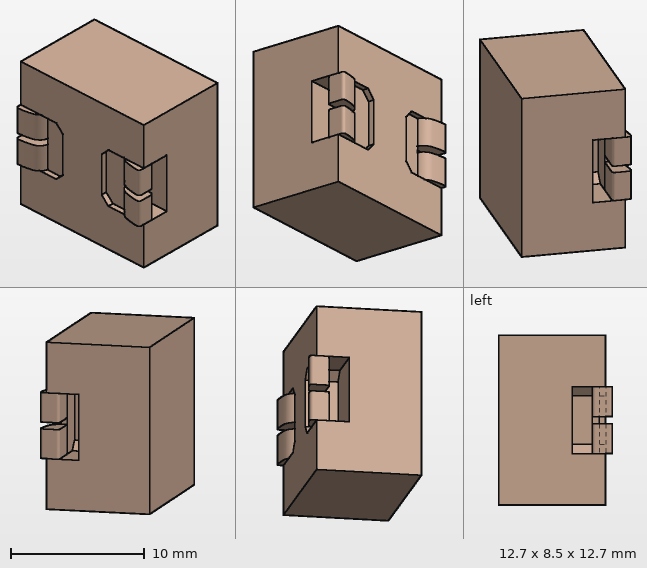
import cadquery as cq

WIDTH = 12.7
HEIGHT = 12.7
DEPTH = 8.0

POCKET_WIDTH = 4.35
POCKET_HEIGHT = 5.0
POCKET_DEPTH = 2.5
POCKET_CHAMFER = 0.7

CONTACT_WIDTH = 2.3
CONTACT_GAP = 0.51
CONTACT_HEIGHT = (POCKET_HEIGHT - CONTACT_GAP) / 2
CONTACT_PROTRUSION = 0.5
CONTACT_INSET = 1.0
CORNER_RADIUS = 0.23
NOSE_START_X = 1.4
NOSE_START_OUT = 0.32
CROWN_MID_X = 0.83
CROWN_MID_OUT = 0.43
NOSE_MID_X = 2.0
NOSE_MID_OUT = 0.03

LEDGE_DEPTH = 0.5
LEDGE_THICKNESS = CONTACT_INSET - LEDGE_DEPTH
LEDGE_LENGTH = POCKET_WIDTH - CONTACT_WIDTH

LEFT_SIDE = -WIDTH / 2


def make_pocket():
    """Cutter for the left pocket: chamfered inner corners, less the ledge that crosses it."""
    cavity = (
        cq.Workplane("XY")
        .box(POCKET_WIDTH, POCKET_DEPTH, POCKET_HEIGHT, centered=(False, False, True))
        .edges("|Y and >X")
        .chamfer(POCKET_CHAMFER)
        .translate((LEFT_SIDE, 0, 0))
    )
    ledge = (
        cq.Workplane("XY")
        .box(LEDGE_LENGTH, LEDGE_THICKNESS, POCKET_HEIGHT, centered=(False, False, True))
        .translate((LEFT_SIDE + CONTACT_WIDTH, LEDGE_DEPTH, 0))
    )
    return cavity.cut(ledge)


def make_housing():
    """Rectangular block with a mirrored pair of pockets, each crossed by a ledge."""
    block = cq.Workplane("XY").box(WIDTH, DEPTH, HEIGHT, centered=(True, False, True))
    pocket = make_pocket()
    return block.cut(pocket).cut(pocket.mirror("YZ"))


def make_contact():
    """Left contact, centred on Z = 0: flat back, domed front and rounded outer corners."""
    return (
        cq.Workplane("XY")
        .moveTo(0, CONTACT_INSET - CORNER_RADIUS)
        .lineTo(0, CORNER_RADIUS - CONTACT_PROTRUSION)
        .radiusArc((CORNER_RADIUS, -CONTACT_PROTRUSION), -CORNER_RADIUS)
        .threePointArc((CROWN_MID_X, -CROWN_MID_OUT), (NOSE_START_X, -NOSE_START_OUT))
        .threePointArc((NOSE_MID_X, -NOSE_MID_OUT), (CONTACT_WIDTH, LEDGE_DEPTH))
        .lineTo(CONTACT_WIDTH, CONTACT_INSET)
        .lineTo(CORNER_RADIUS, CONTACT_INSET)
        .radiusArc((0, CONTACT_INSET - CORNER_RADIUS), -CORNER_RADIUS)
        .close()
        .extrude(CONTACT_HEIGHT / 2, both=True)
        .translate((LEFT_SIDE, 0, 0))
    )


housing = make_housing()

contacts = []
contact_offset = (CONTACT_HEIGHT + CONTACT_GAP) / 2
for level in (-contact_offset, contact_offset):
    left_contact = make_contact().translate((0, 0, level))
    contacts.append(left_contact.val())
    contacts.append(left_contact.mirror("YZ").val())

result = cq.Compound.makeCompound([housing.val(), *contacts])